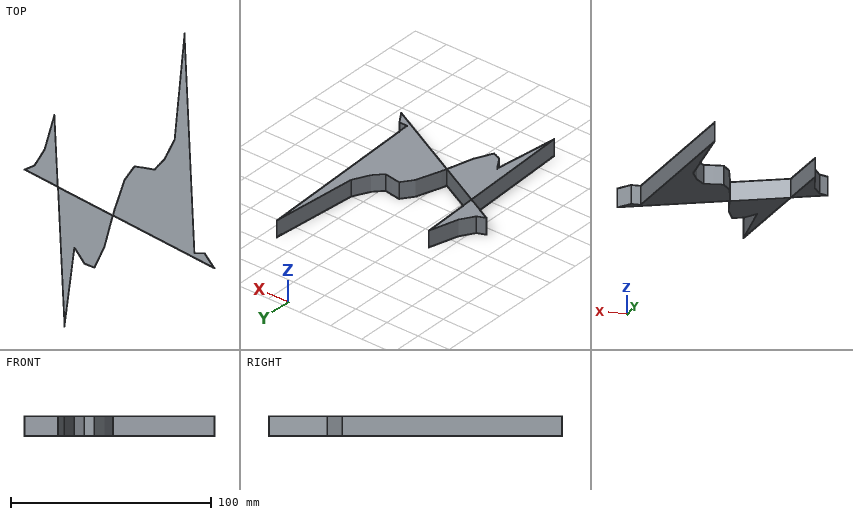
import cadquery as cq

length = 95.0
thickness = 10.0
neck_width = 0.1

heights = [
    0, 2.0, 10.0, 27.4, -78.6, -39.2, -47.1, -49.1, -38.7, -20.0,
    -5.1, 1.6, 0.9, 0, 5.3, 15.0, 68.0, -41.8, -41.8, -49.4,
]
pitch = length / (len(heights) - 1)
points = [(index * pitch, height) for index, height in enumerate(heights)]
chord_slope = (heights[-1] - heights[0]) / length


def height_over_chord(point):
    x, y = point
    return y - heights[0] - chord_slope * x


def chord_crossing(start, end):
    """Point where the graph segment from start to end meets the chord."""
    start_offset = height_over_chord(start)
    fraction = start_offset / (start_offset - height_over_chord(end))
    x = start[0] + fraction * (end[0] - start[0])
    return (x, heights[0] + chord_slope * x)


def lobe(outline):
    return cq.Workplane("XY").polyline(outline).close().extrude(thickness)


def neck_post(crossing):
    return cq.Workplane("XY").center(*crossing).rect(neck_width, neck_width).extrude(thickness)


outlines = [[points[0]]]
crossings = []
for start, end in zip(points, points[1:]):
    if height_over_chord(start) * height_over_chord(end) < 0:
        crossing = chord_crossing(start, end)
        crossings.append(crossing)
        outlines[-1].append(crossing)
        outlines.append([crossing])
    outlines[-1].append(end)

result = lobe(outlines[0])
for crossing, outline in zip(crossings, outlines[1:]):
    post = neck_post(crossing)
    result = result.union(post).union(lobe(outline).union(post))